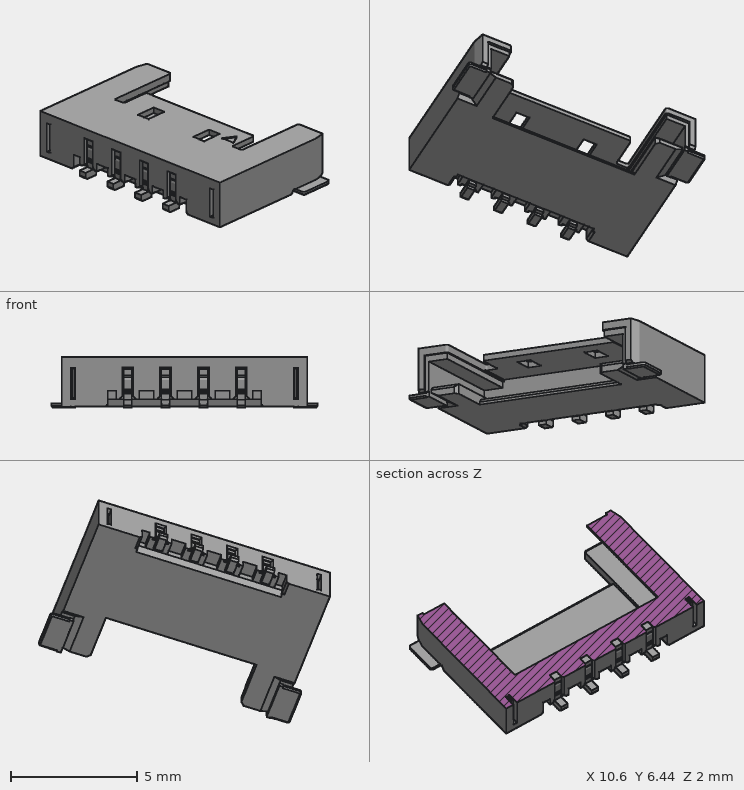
import cadquery as cq
import math

TOTAL_WIDTH = 10.55
TOTAL_HEIGHT = 2.0
TOTAL_DEPTH = 6.44

FOOT_REACH = 0.34
BODY_DEPTH = TOTAL_DEPTH - FOOT_REACH
BODY_HALF = 4.86
BODY_BOTTOM = 0.04
TIP_INSET = 0.12
TIP_TAPER = 0.5
CORNER = 0.11

BACK_WALL = 1.27
CAVITY_CEILING = 1.76
ARM_INNER = 3.44
ARM_PLATE_BOTTOM = 1.69
RIB_INNER = 3.5
RIB_BOTTOM = 1.43
WALL_INNER = 4.33
ARM_SETBACK = 0.1

FLOOR_TOP = 0.28
FLOOR_END = 3.89
RAIL_INNER = 3.16
RAIL_TOP = 0.44
RAIL_END = 5.81
LEAD_IN = 0.14

TONGUE_HALF = 2.92
TONGUE_END = 4.09
SLOT_END = 2.8
SLOT_CORNER = 0.07

RELIEF_TOP = 0.2
RELIEF_START = 4.31
RELIEF_INNER = 4.01
TIP_CHAMFER = 0.11

PITCH = 1.5
TERMINAL_COUNT = 4
TERMINAL_XS = [(i - (TERMINAL_COUNT - 1) / 2) * PITCH for i in range(TERMINAL_COUNT)]
PIN_WIDTH = 0.33
PIN_FACE = 0.11
PIN_BACK = 0.42
PIN_TOP = 1.51
PIN_NOTCH = 0.03
UPPER_NOTCH_TOP = 1.28
UPPER_NOTCH_ROOT = 1.2
UPPER_NOTCH_BOTTOM = 1.1
LOWER_NOTCH_TOP = 0.72
LOWER_NOTCH_ROOT_TOP = 0.68
LOWER_NOTCH_ROOT_BOTTOM = 0.61
LOWER_NOTCH_BOTTOM = 0.55
FOOT_HEIGHT = 0.31
FOOT_CHAMFER = 0.1
FOOT_BACK = 0.28

CHANNEL_WIDTH = 0.45
CHANNEL_TOP = 1.59
CHANNEL_FLARE = (CHANNEL_WIDTH - PIN_WIDTH) / 2
CHANNEL_FLARE_DEPTH = 0.08
CHANNEL_MOUTH_HEIGHT = 0.11

RECESS_HALF = 3.04
RECESS_TOP = 0.34
RECESS_DEPTH = 0.53
RECESS_SLOPE_END = 0.68
RECESS_FLARE = 0.1
POCKET_TOP = 0.68
PAD_WIDTH = 0.92

WINDOW_WIDTH = 0.58
WINDOW_FRONT = 2.38
WINDOW_BACK = 3.3
MARK_SIDE = 0.62
MARK_BASE_Y = 3.07
MARK_X = 2.43
MARK_DEPTH = 0.05

TAB_FRONT = 4.45
TAB_BACK = 5.96
TAB_TOP = 0.17
TAB_BEVEL = 0.06
TAB_CORNER = 0.11
NAIL_INNER = WALL_INNER
NAIL_OUTER = 4.49
NAIL_SLOT_BOTTOM = 0.34
NAIL_SLOT_TOP = 1.58
NAIL_SLOT_DEPTH = 0.53
NAIL_EDGE = 0.21
NAIL_GAP = 0.04

SIDES = (-1, 1)


def box(x0, x1, y0, y1, z0, z1):
    """Axis-aligned block between two opposite corners, given in any order."""
    size = (abs(x1 - x0), abs(y1 - y0), abs(z1 - z0))
    centre = ((x0 + x1) / 2, (y0 + y1) / 2, (z0 + z1) / 2)
    return cq.Workplane("XY").box(*size).translate(centre)


def side_profile(points, x0, x1):
    """Extrude a (y, z) outline along X from x0 to x1."""
    return cq.Workplane("YZ").workplane(offset=x0).polyline(points).close().extrude(x1 - x0)


def make_shell():
    tip_half = BODY_HALF - TIP_INSET
    taper_start = BODY_DEPTH - TIP_TAPER
    outline = [
        (-BODY_HALF, 0),
        (BODY_HALF, 0),
        (BODY_HALF, taper_start),
        (tip_half, BODY_DEPTH),
        (-tip_half, BODY_DEPTH),
        (-BODY_HALF, taper_start),
    ]
    shell = (
        cq.Workplane("XY")
        .workplane(offset=BODY_BOTTOM)
        .polyline(outline)
        .close()
        .extrude(TOTAL_HEIGHT - BODY_BOTTOM)
    )
    for half_width, ceiling in (
        (ARM_INNER, CAVITY_CEILING),
        (RIB_INNER, ARM_PLATE_BOTTOM),
        (WALL_INNER, RIB_BOTTOM),
    ):
        shell = shell.cut(box(-half_width, half_width, BACK_WALL, BODY_DEPTH, BODY_BOTTOM, ceiling))

    setback = box(
        -NAIL_OUTER, NAIL_OUTER, BODY_DEPTH - ARM_SETBACK, BODY_DEPTH, BODY_BOTTOM, ARM_PLATE_BOTTOM
    )
    shell = shell.cut(setback)

    mouth = box(-ARM_INNER, ARM_INNER, TONGUE_END, BODY_DEPTH, CAVITY_CEILING, TOTAL_HEIGHT)
    shell = shell.cut(mouth)
    for side in SIDES:
        slot = box(side * TONGUE_HALF, side * ARM_INNER, SLOT_END, BODY_DEPTH, CAVITY_CEILING, TOTAL_HEIGHT)
        slot = slot.edges("|Z and <Y").fillet(SLOT_CORNER)
        shell = shell.cut(slot)
    return shell


def make_floor_strip(x0, x1, end, top):
    """Strip of cavity floor with a lead-in along the top of its free end."""
    strip = box(x0, x1, BACK_WALL, end, BODY_BOTTOM, top)
    return strip.faces(">Y").edges(">Z").chamfer(LEAD_IN)


def make_rail(side):
    """Raised floor strip inside an arm, also chamfered at its inner corner."""
    rail = make_floor_strip(side * RAIL_INNER, side * WALL_INNER, RAIL_END, RAIL_TOP)
    corner = (
        cq.Workplane("XY")
        .workplane(offset=BODY_BOTTOM)
        .moveTo(side * RAIL_INNER, RAIL_END)
        .lineTo(side * RAIL_INNER, RAIL_END - LEAD_IN)
        .lineTo(side * (RAIL_INNER + LEAD_IN), RAIL_END)
        .close()
        .extrude(RAIL_TOP - BODY_BOTTOM)
    )
    return rail.cut(corner)


def break_mouth_corners(shell):
    """Round the tongue corners and the inner corners of the arm tips."""
    for x, y in ((TONGUE_HALF, TONGUE_END), (ARM_INNER, BODY_DEPTH)):
        for side in SIDES:
            corner = cq.selectors.BoxSelector(
                (side * x - CORNER, y - CORNER, CAVITY_CEILING - CORNER),
                (side * x + CORNER, y + CORNER, TOTAL_HEIGHT + CORNER),
            )
            shell = shell.edges("|Z").edges(corner).fillet(CORNER)
    return shell


def make_arm_relief():
    """Clearance below the arm ends, running out in slopes, plus the tip chamfer."""
    slope = RELIEF_TOP - BODY_BOTTOM
    clearance = side_profile(
        [
            (RELIEF_START - slope, BODY_BOTTOM),
            (RELIEF_START, RELIEF_TOP),
            (BODY_DEPTH - TIP_CHAMFER, RELIEF_TOP),
            (BODY_DEPTH, RELIEF_TOP + TIP_CHAMFER),
            (BODY_DEPTH, BODY_BOTTOM),
        ],
        -BODY_HALF,
        BODY_HALF,
    )
    slanted_core = (
        cq.Workplane("XZ")
        .polyline(
            [
                (-RELIEF_INNER, BODY_BOTTOM),
                (RELIEF_INNER, BODY_BOTTOM),
                (WALL_INNER, RELIEF_TOP),
                (-WALL_INNER, RELIEF_TOP),
            ]
        )
        .close()
        .extrude(-BODY_DEPTH)
    )
    return clearance.cut(slanted_core)


def make_front_recess():
    """Sloped undercut with taller pockets between the terminal pads."""
    recess = side_profile(
        [
            (0, BODY_BOTTOM),
            (0, RECESS_TOP),
            (RECESS_DEPTH, RECESS_TOP),
            (RECESS_SLOPE_END, BODY_BOTTOM),
        ],
        -RECESS_HALF,
        RECESS_HALF,
    )
    pockets = box(-RECESS_HALF, RECESS_HALF, 0, RECESS_DEPTH, RECESS_TOP, POCKET_TOP)
    for x in TERMINAL_XS:
        pad = box(x - PAD_WIDTH / 2, x + PAD_WIDTH / 2, 0, RECESS_DEPTH, RECESS_TOP, POCKET_TOP)
        pockets = pockets.cut(pad)
    recess = recess.union(pockets)

    for side in SIDES:
        flare = (
            cq.Workplane("XZ")
            .moveTo(side * RECESS_HALF, BODY_BOTTOM)
            .lineTo(side * (RECESS_HALF + RECESS_FLARE), BODY_BOTTOM)
            .lineTo(side * RECESS_HALF, BODY_BOTTOM + RECESS_FLARE)
            .close()
            .extrude(-RECESS_DEPTH)
        )
        recess = recess.union(flare)
    return recess


def make_channel(x):
    """Upright slot for one terminal, flared at the front face and at its lower mouth."""
    pin_half = PIN_WIDTH / 2
    channel = box(x - pin_half, x + pin_half, 0, PIN_BACK, RECESS_TOP, CHANNEL_TOP - CHANNEL_FLARE)

    height = CHANNEL_TOP - RECESS_TOP
    flare = (
        cq.Workplane("XZ")
        .center(x, RECESS_TOP + height / 2)
        .rect(CHANNEL_WIDTH, height)
        .workplane(offset=-CHANNEL_FLARE_DEPTH)
        .center(0, -CHANNEL_FLARE / 2)
        .rect(PIN_WIDTH, height - CHANNEL_FLARE)
        .loft()
    )
    half = CHANNEL_WIDTH / 2
    mouth = (
        cq.Workplane("XZ")
        .polyline(
            [
                (x - half - CHANNEL_MOUTH_HEIGHT, RECESS_TOP),
                (x + half + CHANNEL_MOUTH_HEIGHT, RECESS_TOP),
                (x + half, RECESS_TOP + CHANNEL_MOUTH_HEIGHT),
                (x - half, RECESS_TOP + CHANNEL_MOUTH_HEIGHT),
            ]
        )
        .close()
        .extrude(-CHANNEL_FLARE_DEPTH)
    )
    return channel.union(flare).union(mouth)


def make_window(x):
    half = WINDOW_WIDTH / 2
    return box(x - half, x + half, WINDOW_FRONT, WINDOW_BACK, CAVITY_CEILING, TOTAL_HEIGHT)


def make_nail_slot(side):
    """Narrow upright slot in the front face, leaving the edge of the nail standing inside."""
    x0 = side * NAIL_INNER
    x1 = side * NAIL_OUTER
    gap = side * NAIL_GAP
    slot = box(x0, x1, 0, NAIL_SLOT_DEPTH, NAIL_SLOT_BOTTOM, NAIL_SLOT_TOP)
    nail_bottom = NAIL_SLOT_BOTTOM + NAIL_GAP
    nail_top = NAIL_SLOT_TOP - NAIL_GAP
    nail = box(x0 + gap, x1 - gap, NAIL_EDGE, NAIL_SLOT_DEPTH, nail_bottom, nail_top)
    return slot.cut(nail)


def make_pin_one_mark():
    mark_height = MARK_SIDE * math.sqrt(3) / 2
    return (
        cq.Workplane("XY")
        .workplane(offset=TOTAL_HEIGHT - MARK_DEPTH)
        .moveTo(MARK_X - MARK_SIDE / 2, MARK_BASE_Y)
        .lineTo(MARK_X + MARK_SIDE / 2, MARK_BASE_Y)
        .lineTo(MARK_X, MARK_BASE_Y + mark_height)
        .close()
        .extrude(MARK_DEPTH)
    )


def make_terminal(x):
    """Upright blade with two notches across its face and a foot at the bottom."""
    notch_y = PIN_FACE + PIN_NOTCH
    blade = [
        (PIN_BACK, PIN_TOP),
        (PIN_FACE, PIN_TOP),
        (PIN_FACE, UPPER_NOTCH_TOP),
        (notch_y, UPPER_NOTCH_ROOT),
        (PIN_FACE, UPPER_NOTCH_BOTTOM),
        (PIN_FACE, LOWER_NOTCH_TOP),
        (notch_y, LOWER_NOTCH_ROOT_TOP),
        (notch_y, LOWER_NOTCH_ROOT_BOTTOM),
        (PIN_FACE, LOWER_NOTCH_BOTTOM),
        (PIN_FACE, FOOT_HEIGHT / 2),
        (PIN_BACK, FOOT_HEIGHT / 2),
    ]
    half = PIN_WIDTH / 2
    upright = side_profile(blade, x - half, x + half)
    foot = box(x - half, x + half, -FOOT_REACH, FOOT_BACK, 0, FOOT_HEIGHT)
    foot = foot.faces("<Y").edges("<Z").chamfer(FOOT_CHAMFER)
    return upright.union(foot)


def make_solder_tab(side):
    """Flat tab beside the arm, bent up into the arm wall at its inner end."""
    tab = box(side * NAIL_INNER, side * TOTAL_WIDTH / 2, TAB_FRONT, TAB_BACK, 0, TAB_TOP)
    outer = ">X" if side > 0 else "<X"
    tab = tab.edges("|Z and " + outer).fillet(TAB_CORNER)
    tab = tab.faces(outer).edges("<Z").chamfer(TAB_BEVEL)
    web = box(side * NAIL_INNER, side * NAIL_OUTER, TAB_FRONT, TAB_BACK, 0, RAIL_TOP)
    return tab.union(web)


housing = break_mouth_corners(make_shell())
housing = housing.union(make_floor_strip(-RAIL_INNER, RAIL_INNER, FLOOR_END, FLOOR_TOP))
for side in SIDES:
    housing = housing.union(make_rail(side))
    housing = housing.cut(make_nail_slot(side)).cut(make_window(side * PITCH))
housing = housing.cut(make_arm_relief()).cut(make_front_recess()).cut(make_pin_one_mark())

result = housing
for x in TERMINAL_XS:
    result = result.cut(make_channel(x)).union(make_terminal(x))
for side in SIDES:
    result = result.union(make_solder_tab(side))